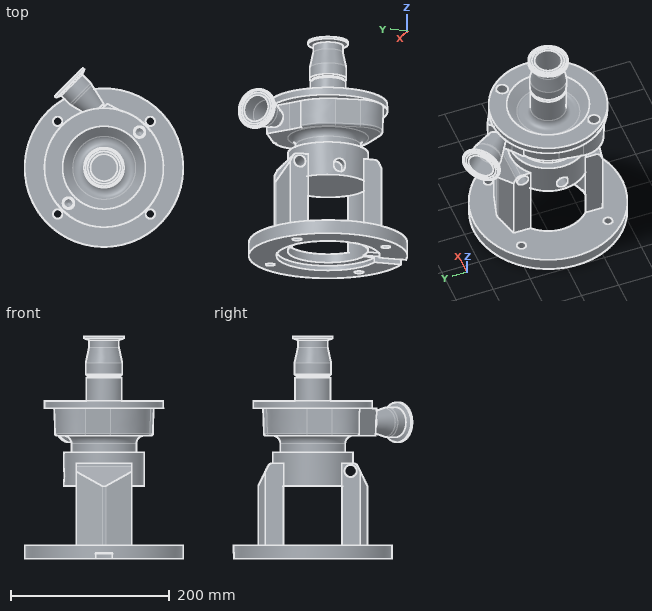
import math

import cadquery as cq

BASE_R = 100.0
BASE_TOP = 17.4
BASE_BORE_R = 50.75
RECESS_R = 65.0
RECESS_DEPTH = 6.2
BOLT_CIRCLE_R = 82.5
BOLT_HOLE_R = 5.75
BOLT_COUNT = 4
BOLT_START_ANGLE = 45.0
NOTCH_WIDTH = 21.0
NOTCH_HEIGHT = 8.0

LEG_HALF_WIDTH = 35.0
LEG_SIDE_Y = 60.0
LEG_RIDGE_Y = 69.0
LEG_RIDGE_HALF_WIDTH = 2.3
LEG_TOP = 120.7
LEG_SHOULDER_Z = 91.7
LEG_TOP_Y = 54.7
LEG_ROUND_R = 7.0
LEG_HOLE_R = 7.5
LEG_HOLE_Y = 47.6
LEG_HOLE_Z = 110.7

COLLAR_R = BASE_BORE_R
COLLAR_BOTTOM = 91.7
COLLAR_TOP = 134.5
COLLAR_SLOT_WIDTH = 15.0
COLLAR_SLOT_HEIGHT = 17.0
COLLAR_SLOT_Z = 105.0
COLLAR_SLOT_DEPTH = 15.0
NECK_R = 41.1
NECK_ROUND_R = 9.7

VOLUTE_TURN = 45.0
VOLUTE_BOTTOM = 155.0
VOLUTE_TOP = 189.4
VOLUTE_DRAFT = 2.0
VOLUTE_EDGE_ROUND = 3.0
CASING_R = 59.0
BOSS_R = 34.7
BOSS_OFFSET = 40.0
PAD_FAR_X = 60.0
PAD_FAR_Y = 53.9
PAD_NEAR_X = 25.5
PAD_BLEND_X = 7.2

COVER_R = 75.0
COVER_TOP = 198.9
DISH_R = 52.2
DISH_ROUND_R = 10.0
COVER_HOLE_OFFSET = 63.3
COVER_HOLE_R = 7.5
COVER_HOLE_DEPTH = 20.0
COVER_TIP_R = 6.0
COVER_TIP_DEPTH = 3.5

FERRULE_R = 25.3
FERRULE_RIM = 2.9
FERRULE_BACK = 5.3
PIPE_R = 18.9
BORE_R = 17.0
SEAL_OUTER_R = 23.2
SEAL_INNER_R = 20.4
SEAL_DEPTH = 1.2

INLET_TOP = 280.6
INLET_PIPE_R = 22.6
INLET_TAPER_TOP = 266.7
INLET_SLEEVE_R = 23.2
INLET_SLEEVE_TOP = 246.9
GROOVE_R = 20.0
GROOVE_TOP = 232.2
GROOVE_BOTTOM = 227.8
GROOVE_FLANK = 1.6
INLET_BORE_BOTTOM = COVER_TOP

OUTLET_OFFSET = 44.8
OUTLET_FACE = 107.57
OUTLET_Z = 172.0
OUTLET_STRAIGHT = 20.3
OUTLET_BORE_STRAIGHT = 23.0
OUTLET_WALL = 1.6
OUTLET_END_R = 11.8
OUTLET_END = 57.4
OUTLET_ROOT_R = 5.0


def cylinder(radius, bottom, top):
    return cq.Workplane("XY").workplane(offset=bottom).circle(radius).extrude(top - bottom)


def revolve_profile(profile):
    """Revolve a closed (radius, height) profile about the Z axis."""
    return profile.close().revolve(360, (0, 0, 0), (0, 1, 0))


def polar(radius, angle, centre_x=0.0):
    return (centre_x + radius * math.cos(angle), radius * math.sin(angle))


def make_base():
    base = cylinder(BASE_R, 0, BASE_TOP)
    base = base.cut(cylinder(BASE_BORE_R, 0, BASE_TOP))
    base = base.cut(cylinder(RECESS_R, 0, RECESS_DEPTH))
    bolt_holes = (
        cq.Workplane("XY")
        .polarArray(BOLT_CIRCLE_R, BOLT_START_ANGLE, 360, BOLT_COUNT)
        .circle(BOLT_HOLE_R)
        .extrude(BASE_TOP)
    )
    notch = cq.Workplane("XY").box(NOTCH_WIDTH, BASE_R, NOTCH_HEIGHT, centered=(True, False, False))
    return base.cut(bolt_holes).cut(notch.translate((0, -BASE_R, 0)))


def make_leg():
    """Leg on the +Y side: a ridged plan cut by a sloping, rounded top."""
    plan = (
        cq.Workplane("XY")
        .workplane(offset=BASE_TOP)
        .moveTo(-LEG_HALF_WIDTH, 0)
        .lineTo(LEG_HALF_WIDTH, 0)
        .lineTo(LEG_HALF_WIDTH, LEG_SIDE_Y)
        .lineTo(LEG_RIDGE_HALF_WIDTH, LEG_RIDGE_Y)
        .lineTo(-LEG_RIDGE_HALF_WIDTH, LEG_RIDGE_Y)
        .lineTo(-LEG_HALF_WIDTH, LEG_SIDE_Y)
        .close()
        .extrude(LEG_TOP - BASE_TOP)
    )
    side = (
        cq.Workplane("YZ")
        .moveTo(0, BASE_TOP)
        .lineTo(LEG_RIDGE_Y, BASE_TOP)
        .lineTo(LEG_RIDGE_Y, LEG_SHOULDER_Z)
        .lineTo(LEG_TOP_Y, LEG_TOP)
        .lineTo(0, LEG_TOP)
        .close()
        .extrude(LEG_HALF_WIDTH, both=True)
        .faces(">Z")
        .edges(">Y")
        .fillet(LEG_ROUND_R)
    )
    return plan.intersect(side).cut(cylinder(BASE_BORE_R, BASE_TOP, LEG_TOP))


def make_leg_hole():
    """Cross hole through one leg and the side of the collar beside it."""
    return (
        cq.Workplane("YZ")
        .center(LEG_HOLE_Y, LEG_HOLE_Z)
        .circle(LEG_HOLE_R)
        .extrude(LEG_HALF_WIDTH, both=True)
    )


def make_collar():
    slot = (
        cq.Workplane("YZ")
        .workplane(offset=-COLLAR_R)
        .center(0, COLLAR_SLOT_Z)
        .slot2D(COLLAR_SLOT_HEIGHT, COLLAR_SLOT_WIDTH, 90)
        .extrude(COLLAR_SLOT_DEPTH)
    )
    return cylinder(COLLAR_R, COLLAR_BOTTOM, COLLAR_TOP).cut(slot)


def make_neck():
    """Neck that flares into the underside of the volute with a quarter-round."""
    bend = NECK_ROUND_R * (1 - math.sqrt(0.5))
    return revolve_profile(
        cq.Workplane("XZ")
        .moveTo(0, COLLAR_TOP)
        .lineTo(NECK_R, COLLAR_TOP)
        .lineTo(NECK_R, VOLUTE_BOTTOM - NECK_ROUND_R)
        .threePointArc((NECK_R + bend, VOLUTE_BOTTOM - bend), (NECK_R + NECK_ROUND_R, VOLUTE_BOTTOM))
        .lineTo(0, VOLUTE_BOTTOM)
    )


def extrude_volute(outline):
    """Extrude an outline down from the cover to the volute bottom, narrowing with the draft."""
    return outline.extrude(VOLUTE_BOTTOM - VOLUTE_TOP, taper=VOLUTE_DRAFT)


def make_casing():
    """Round casing joined by tangent walls to a boss at each end of the local X axis."""
    tangent = math.acos((CASING_R - BOSS_R) / BOSS_OFFSET)
    outline = cq.Workplane("XY").workplane(offset=VOLUTE_TOP).moveTo(*polar(CASING_R, tangent))
    for middle in (math.pi / 2, 3 * math.pi / 2):
        swing = math.pi / 2 - tangent
        boss_middle = middle + math.pi / 2
        boss_x = BOSS_OFFSET * math.cos(boss_middle)
        outline = (
            outline.threePointArc(polar(CASING_R, middle), polar(CASING_R, middle + swing))
            .lineTo(*polar(BOSS_R, boss_middle - tangent, boss_x))
            .threePointArc(
                polar(BOSS_R, boss_middle, boss_x),
                polar(BOSS_R, boss_middle + tangent, boss_x),
            )
            .lineTo(*polar(CASING_R, boss_middle + tangent))
        )
    casing = extrude_volute(outline.close())
    return casing.faces("<Z").edges().fillet(VOLUTE_EDGE_ROUND)


def make_outlet_pad():
    """Flat-faced pad that blends into the casing on one side and a boss on the other."""
    corner_x = PAD_FAR_X - BOSS_OFFSET
    corner_distance = math.hypot(corner_x, PAD_FAR_Y)
    boss_angle = math.atan2(PAD_FAR_Y, corner_x) - math.acos(BOSS_R / corner_distance)
    blend_y = math.sqrt(CASING_R**2 - PAD_BLEND_X**2)
    near_y = blend_y - (PAD_NEAR_X - PAD_BLEND_X) * PAD_BLEND_X / blend_y
    outline = (
        cq.Workplane("XY")
        .workplane(offset=VOLUTE_TOP)
        .moveTo(PAD_FAR_X, PAD_FAR_Y)
        .lineTo(PAD_NEAR_X, near_y)
        .lineTo(PAD_BLEND_X, blend_y)
        .lineTo(PAD_BLEND_X, 0)
        .lineTo(BOSS_OFFSET, 0)
        .lineTo(*polar(BOSS_R, boss_angle, BOSS_OFFSET))
        .close()
    )
    return extrude_volute(outline)


def make_dish():
    """Cutter for the dish: a 45 degree cone ending in a round trough about the inlet."""
    trough_r = INLET_PIPE_R + DISH_ROUND_R
    trough_end_r = trough_r + DISH_ROUND_R * math.sqrt(0.5)
    trough_end_z = COVER_TOP - (DISH_R - trough_end_r)
    trough_z = trough_end_z + DISH_ROUND_R * math.sqrt(0.5)
    return revolve_profile(
        cq.Workplane("XZ")
        .moveTo(INLET_PIPE_R, COVER_TOP)
        .lineTo(DISH_R, COVER_TOP)
        .lineTo(trough_end_r, trough_end_z)
        .threePointArc((trough_r, trough_z - DISH_ROUND_R), (INLET_PIPE_R, trough_z))
    )


def make_cover_hole():
    """Cutter for a stepped blind hole with a conical tip."""
    step_z = COVER_TOP - COVER_HOLE_DEPTH
    return revolve_profile(
        cq.Workplane("XZ")
        .moveTo(0, COVER_TOP)
        .lineTo(COVER_HOLE_R, COVER_TOP)
        .lineTo(COVER_HOLE_R, step_z)
        .lineTo(COVER_TIP_R, step_z)
        .lineTo(0, step_z - COVER_TIP_DEPTH)
    )


def make_seal_groove(face):
    """Cutter for the round-bottomed ring groove in a ferrule face."""
    middle_r = (SEAL_OUTER_R + SEAL_INNER_R) / 2
    return revolve_profile(
        cq.Workplane("XZ")
        .moveTo(SEAL_INNER_R, face)
        .threePointArc((middle_r, face - SEAL_DEPTH), (SEAL_OUTER_R, face))
    )


def ferrule_profile(face):
    """Start of a pipe profile: the axis point, the clamp rim and its sloping back."""
    return (
        cq.Workplane("XZ")
        .moveTo(0, face)
        .lineTo(FERRULE_R, face)
        .lineTo(FERRULE_R, face - FERRULE_RIM)
        .lineTo(PIPE_R, face - FERRULE_BACK)
    )


def make_inlet():
    pipe = revolve_profile(
        ferrule_profile(INLET_TOP)
        .lineTo(PIPE_R, INLET_TAPER_TOP)
        .lineTo(INLET_SLEEVE_R, INLET_SLEEVE_TOP)
        .lineTo(INLET_SLEEVE_R, GROOVE_TOP)
        .lineTo(GROOVE_R, GROOVE_TOP - GROOVE_FLANK)
        .lineTo(GROOVE_R, GROOVE_BOTTOM + GROOVE_FLANK)
        .lineTo(INLET_PIPE_R, GROOVE_BOTTOM)
        .lineTo(INLET_PIPE_R, VOLUTE_TOP)
        .lineTo(0, VOLUTE_TOP)
    )
    bore = cylinder(BORE_R, INLET_BORE_BOTTOM, INLET_TOP)
    return pipe.cut(bore).cut(make_seal_groove(INLET_TOP))


def place_outlet(solid):
    """Lay a solid built along +Z down along the local +Y outlet axis."""
    return solid.rotate((0, 0, 0), (1, 0, 0), -90).translate((OUTLET_OFFSET, 0, OUTLET_Z))


def make_outlet():
    """Outlet pipe tapering towards the pad, then drawn in at 45 degrees to its root."""
    root = OUTLET_END - (OUTLET_END_R - OUTLET_ROOT_R)
    return revolve_profile(
        ferrule_profile(OUTLET_FACE)
        .lineTo(PIPE_R, OUTLET_FACE - OUTLET_STRAIGHT)
        .lineTo(OUTLET_END_R, OUTLET_END)
        .lineTo(OUTLET_ROOT_R, root)
        .lineTo(0, root)
    )


def make_outlet_bore():
    bore = revolve_profile(
        cq.Workplane("XZ")
        .moveTo(0, OUTLET_FACE)
        .lineTo(BORE_R, OUTLET_FACE)
        .lineTo(BORE_R, OUTLET_FACE - OUTLET_BORE_STRAIGHT)
        .lineTo(OUTLET_END_R - OUTLET_WALL, OUTLET_END)
        .lineTo(0, OUTLET_END)
    )
    return bore.union(make_seal_groove(OUTLET_FACE))


def make_pump_head():
    """Volute, cover, inlet and outlet, turned into place about the Z axis."""
    cover = cylinder(COVER_R, VOLUTE_TOP, COVER_TOP)
    head = make_casing().union(make_outlet_pad()).union(cover).union(make_neck())
    head = head.cut(make_dish())
    for side in (-1, 1):
        head = head.cut(make_cover_hole().translate((side * COVER_HOLE_OFFSET, 0, 0)))
    head = head.union(make_inlet())
    head = head.union(place_outlet(make_outlet())).cut(place_outlet(make_outlet_bore()))
    return head.rotate((0, 0, 0), (0, 0, 1), VOLUTE_TURN)


leg = make_leg()
stand = make_base().union(leg).union(leg.mirror("XZ")).union(make_collar())
result = stand.cut(make_leg_hole()).union(make_pump_head())